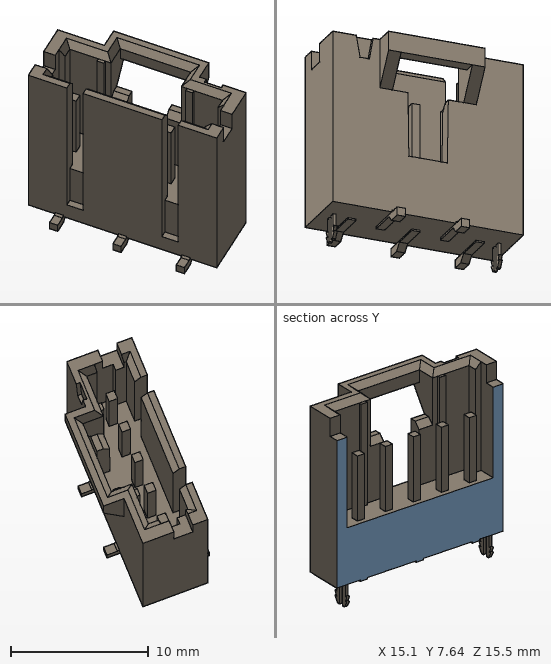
import cadquery as cq

HOUSING_X = 15.11
HOUSING_Y = 5.08
HOUSING_Z = 13.57
END_WALL = 1.43
LONG_WALL = 1.0
FLOOR_Z = 4.68
MOUTH_CHAMFER = 0.49

HOOD_X = 7.64
HOOD_PROJECTION = 1.6
HOOD_WALL = 1.0
HOOD_STRAIGHT_Z = 1.5
HOOD_DEPTH_Z = 3.85

REAR_SLOT_TOP_X = 3.2
REAR_SLOT_FLOOR_X = 3.05

FRONT_SLOT_X = 1.3
FRONT_SLOT_OFFSET = 3.81
FRONT_SLOT_BOTTOM_Z = 1.36
FRONT_SLOT_DEPTH = 0.52

NOTCH_Y = 1.47
NOTCH_CENTRE_Y = -0.625
NOTCH_Z = 1.48
GROOVE_FRONT_Y = -0.71
GROOVE_REAR_Y = 0.74
GROOVE_DEPTH = 0.5

RIB_X = 0.56
RIB_OFFSET = 3.56
RIB_HEIGHT = 0.24

MARK_CENTRE_X = 5.02
MARK_TOP_X = 1.34
MARK_BOTTOM_X = 0.74
MARK_Z = 1.7
MARK_DEPTH = 0.3

PIN_COUNT = 5
PITCH = 2.54
PIN_SIDE = 0.66
PIN_TOP_Z = 10.0
LEAD_REACH = 3.5
LEAD_BOTTOM_Z = -0.65
LEAD_BEND = 0.15
FOOT_Y = 2.47
FRONT_SHANK_Z = -0.12
REAR_SHANK_Z = -0.17

PEG_X = 0.25
PEG_OFFSET = 6.535
PEG_LENGTH = 1.92
PEG_GAP_HALF = 0.17
PEG_HALF_Y = 0.53
PEG_TIP_Y = 0.42
BARB_Y = 0.735
UPPER_BARB_Z = -1.0
LOWER_BARB_Z = -1.41

FRONT_Y = -HOUSING_Y / 2
REAR_Y = HOUSING_Y / 2
CAVITY_X = HOUSING_X - 2 * END_WALL
CAVITY_Y = HOUSING_Y - 2 * LONG_WALL
CAVITY_REAR_Y = CAVITY_Y / 2
HOOD_REAR_Y = REAR_Y + HOOD_PROJECTION
HOOD_CAVITY_X = HOOD_X - 2 * HOOD_WALL
HOOD_CAVITY_REAR_Y = HOOD_REAR_Y - HOOD_WALL
HOOD_BOTTOM_Z = HOUSING_Z - HOOD_DEPTH_Z


def box(x0, x1, y0, y1, z0, z1):
    """Axis-aligned block between two opposite corners."""
    return cq.Workplane("XY").box(x1 - x0, y1 - y0, z1 - z0, centered=False).translate((x0, y0, z0))


def side_profile(points, centre_x, width):
    """Extrude a (y, z) outline to a width centred on centre_x."""
    outline = cq.Workplane("YZ").polyline(points).close()
    return outline.extrude(width / 2, both=True).translate((centre_x, 0, 0))


def flared_pocket(x, y0, y1, z0, z1):
    """Pocket symmetric in X whose rim at z1 widens at 45 degrees."""
    straight = box(-x / 2, x / 2, y0, y1, z0, z1)
    rim = (
        cq.Workplane("XY", origin=(0, (y0 + y1) / 2, z1))
        .rect(x + 2 * MOUTH_CHAMFER, y1 - y0 + 2 * MOUTH_CHAMFER)
        .workplane(offset=-MOUTH_CHAMFER)
        .rect(x, y1 - y0)
        .loft(combine=True)
    )
    return straight.union(rim)


def hood():
    """Solid hood with a sloping underside, reaching into the housing to the mid plane."""
    return side_profile(
        [
            (0, HOUSING_Z),
            (HOOD_REAR_Y, HOUSING_Z),
            (HOOD_REAR_Y, HOUSING_Z - HOOD_STRAIGHT_Z),
            (REAR_Y, HOOD_BOTTOM_Z),
            (0, HOOD_BOTTOM_Z),
        ],
        0,
        HOOD_X,
    )


def rear_opening():
    """Hood cavity, window under the hood, chamfered sill and tapered slot down to the floor."""
    cavity = flared_pocket(HOOD_CAVITY_X, 0, HOOD_CAVITY_REAR_Y, HOOD_BOTTOM_Z, HOUSING_Z)
    latch_window = box(
        -HOOD_CAVITY_X / 2,
        HOOD_CAVITY_X / 2,
        0,
        HOOD_REAR_Y,
        HOOD_BOTTOM_Z,
        HOUSING_Z - HOOD_STRAIGHT_Z,
    )
    sill_chamfer = side_profile(
        [
            (CAVITY_REAR_Y, HOOD_BOTTOM_Z - MOUTH_CHAMFER),
            (CAVITY_REAR_Y, HOOD_BOTTOM_Z),
            (CAVITY_REAR_Y + MOUTH_CHAMFER, HOOD_BOTTOM_Z),
        ],
        0,
        HOOD_CAVITY_X,
    )
    slot = (
        cq.Workplane("XZ", origin=(0, REAR_Y, 0))
        .polyline(
            [
                (-REAR_SLOT_FLOOR_X / 2, FLOOR_Z),
                (REAR_SLOT_FLOOR_X / 2, FLOOR_Z),
                (REAR_SLOT_TOP_X / 2, HOOD_BOTTOM_Z),
                (-REAR_SLOT_TOP_X / 2, HOOD_BOTTOM_Z),
            ]
        )
        .close()
        .extrude(REAR_Y)
    )
    return cavity.union(latch_window).union(sill_chamfer).union(slot)


def front_slot(centre_x):
    """Slot through the front wall that stays shallow in front of the solid floor."""
    x0 = centre_x - FRONT_SLOT_X / 2
    x1 = centre_x + FRONT_SLOT_X / 2
    outer = box(x0, x1, FRONT_Y, FRONT_Y + FRONT_SLOT_DEPTH, FRONT_SLOT_BOTTOM_Z, HOUSING_Z)
    return outer.union(box(x0, x1, FRONT_Y, 0, FLOOR_Z, HOUSING_Z))


def end_notches():
    half_x = HOUSING_X / 2
    y0 = NOTCH_CENTRE_Y - NOTCH_Y / 2
    return box(-half_x, half_x, y0, y0 + NOTCH_Y, HOUSING_Z - NOTCH_Z, HOUSING_Z)


def guide_grooves():
    half_x = CAVITY_X / 2 + GROOVE_DEPTH
    return box(-half_x, half_x, GROOVE_FRONT_Y, GROOVE_REAR_Y, FLOOR_Z, HOUSING_Z)


def rib(centre_x):
    return box(
        centre_x - RIB_X / 2,
        centre_x + RIB_X / 2,
        CAVITY_REAR_Y - RIB_HEIGHT,
        CAVITY_REAR_Y,
        FLOOR_Z,
        HOUSING_Z - MOUTH_CHAMFER,
    )


def pin_mark():
    """Trapezoidal recess, open at the top, behind the last contact."""
    return (
        cq.Workplane("XZ", origin=(MARK_CENTRE_X, REAR_Y, 0))
        .polyline(
            [
                (-MARK_TOP_X / 2, HOUSING_Z),
                (MARK_TOP_X / 2, HOUSING_Z),
                (MARK_BOTTOM_X / 2, HOUSING_Z - MARK_Z),
                (-MARK_BOTTOM_X / 2, HOUSING_Z - MARK_Z),
            ]
        )
        .close()
        .extrude(MARK_DEPTH)
    )


def contact(index):
    """Square pin with a surface-mount lead; leads alternate front and rear."""
    centre_x = (index - (PIN_COUNT - 1) / 2) * PITCH
    half = PIN_SIDE / 2
    to_front = index % 2 == 0
    side = -1 if to_front else 1
    shank_z = FRONT_SHANK_Z if to_front else REAR_SHANK_Z
    outline = [
        (-half, LEAD_BEND),
        (REAR_Y, LEAD_BEND),
        (REAR_Y + LEAD_BEND, 0),
        (LEAD_REACH, 0),
        (LEAD_REACH, LEAD_BOTTOM_Z),
        (FOOT_Y, LEAD_BOTTOM_Z),
        (FOOT_Y + LEAD_BOTTOM_Z - shank_z, shank_z),
        (-half, shank_z),
    ]
    lead = side_profile([(side * y, z) for y, z in outline], centre_x, PIN_SIDE)
    pin = box(centre_x - half, centre_x + half, -half, half, 0, PIN_TOP_Z)
    return lead.union(pin)


def peg(centre_x):
    """Two barbed prongs, mirrored about Y = 0."""
    outline = [
        (PEG_GAP_HALF, 0),
        (PEG_HALF_Y, 0),
        (PEG_HALF_Y, UPPER_BARB_Z),
        (BARB_Y, UPPER_BARB_Z),
        (PEG_HALF_Y, LOWER_BARB_Z),
        (BARB_Y, LOWER_BARB_Z),
        (PEG_TIP_Y, -PEG_LENGTH),
        (PEG_GAP_HALF, -PEG_LENGTH),
    ]
    prong = side_profile(outline, centre_x, PEG_X)
    return prong.union(prong.mirror("XZ"))


def housing():
    half_x = HOUSING_X / 2
    body = box(-half_x, half_x, FRONT_Y, REAR_Y, 0, HOUSING_Z).union(hood())
    body = body.cut(flared_pocket(CAVITY_X, -CAVITY_Y / 2, CAVITY_REAR_Y, FLOOR_Z, HOUSING_Z))
    body = body.cut(rear_opening()).cut(guide_grooves()).cut(end_notches()).cut(pin_mark())
    for side in (-1, 1):
        body = body.cut(front_slot(side * FRONT_SLOT_OFFSET))
        body = body.union(rib(side * RIB_OFFSET))
    return body


result = housing()
for pin_index in range(PIN_COUNT):
    result = result.union(contact(pin_index))
for peg_side in (-1, 1):
    result = result.union(peg(peg_side * PEG_OFFSET))